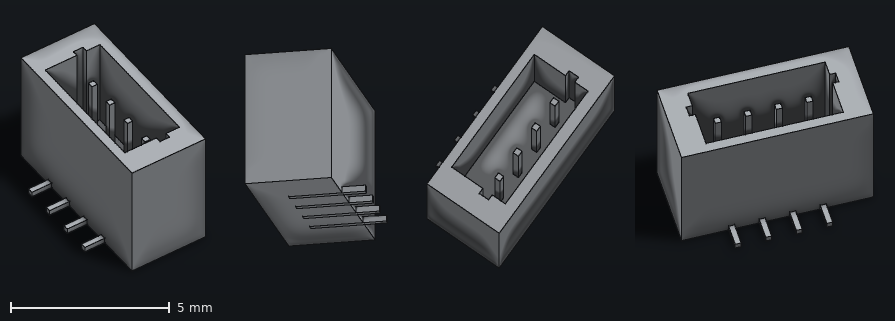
import cadquery as cq

housing_width = 6.3
housing_depth = 2.8
housing_height = 4.3

pocket_width = 4.505
back_wall = 0.4
front_wall = 0.33
floor_thickness = 1.0
pocket_length = housing_depth - back_wall - front_wall
pocket_depth = housing_height - floor_thickness

key_span = 4.9
key_length = 0.36
key_front = 1.53

pin_count = 4
pin_pitch = 1.0
pin_size = 0.2
pin_center_y = 1.63
pin_top_recess = 0.7
leg_reach = 0.75
pin_height = housing_height - pin_top_recess
pin_back_y = pin_center_y + pin_size / 2


def box(width, length, height, front_y, bottom_z):
    """Box centered on X = 0, growing to +Y and +Z from its front bottom edge."""
    return (
        cq.Workplane("XY")
        .box(width, length, height, centered=(True, False, False))
        .translate((0, front_y, bottom_z))
    )


def make_pin(center_x):
    """L-shaped pin: an upright post with a solder leg leaving through the front wall."""
    post = box(pin_size, pin_size, pin_height, pin_back_y - pin_size, 0)
    leg = box(pin_size, pin_back_y + leg_reach, pin_size, -leg_reach, 0)
    return post.union(leg).translate((center_x, 0, 0))


def make_housing(fitted_pins):
    """Open-topped housing with the passages that hold the pins."""
    body = box(housing_width, housing_depth, housing_height, 0, 0)
    pocket = box(pocket_width, pocket_length, pocket_depth, front_wall, floor_thickness)
    key_slots = box(key_span, key_length, pocket_depth, key_front, floor_thickness)
    body = body.cut(pocket).cut(key_slots)
    for pin in fitted_pins:
        body = body.cut(pin)
    return body


first_pin_x = -pin_pitch * (pin_count - 1) / 2
pins = [make_pin(first_pin_x + index * pin_pitch) for index in range(pin_count)]
housing = make_housing(pins)

result = cq.Compound.makeCompound([housing.solids().val(), *[pin.solids().val() for pin in pins]])